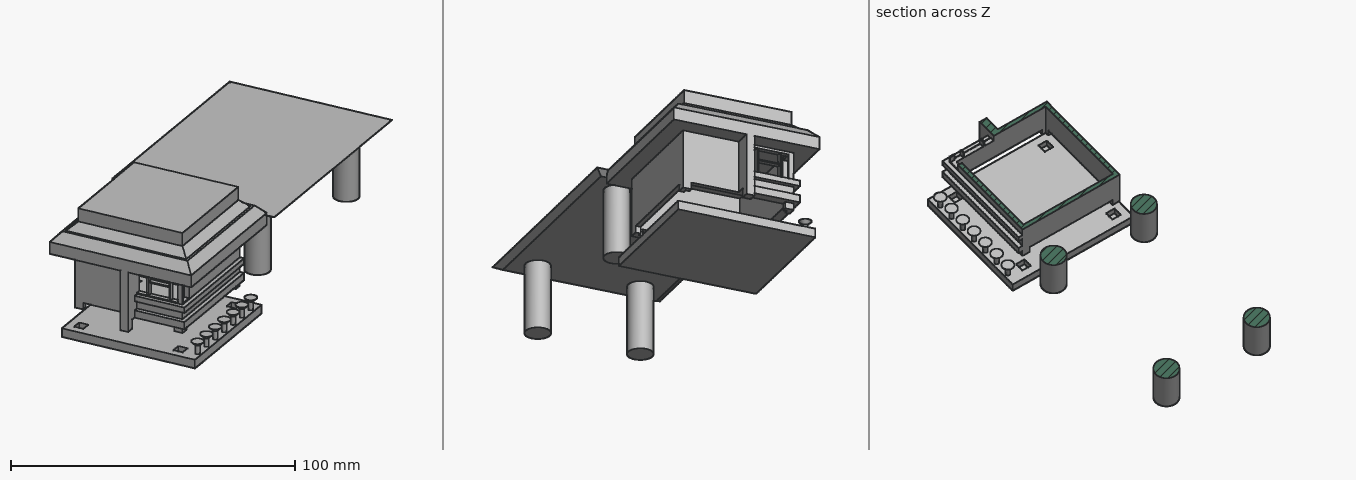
import cadquery as cq


BASE_THICKNESS = 3.4
STOOL_TOP = 8.1
POST_BOTTOM = 9.8
FOOT_BOTTOM = 10.8
WALL_BOTTOM = 13.4
LEDGE_TOP = 16.2
COUNTER_BOTTOM = 19.8
COUNTER_TOP = 22.0
WINDOW_BOTTOM = 22.4
WINDOW_TOP = 32.2
EAVE_BOTTOM = 33.2
EAVE_TOP = 37.9
LOWER_SLOPE_TOP = 41.5
UPPER_SLOPE_TOP = 44.5
CAP_TOP = 49.5

WALL_SIZE = 42.9
WALL_HALF = WALL_SIZE / 2
WALL_THICKNESS = 1.9
FOOT_SIZE = 3.3
PANEL_LEFT = 0.1
PANEL_WIDTH = 3.1
PANEL_RIGHT = PANEL_LEFT + PANEL_WIDTH

EAVE_SIZE = 56.4
LOWER_SLOPE_SIZE = 50.0
UPPER_SLOPE_SIZE = 48.0
CAP_SIZE = 41.6
ROOF_SHIFT = 0.21
FRONT_Y = ROOF_SHIFT - EAVE_SIZE / 2
EAVE_BACK_Y = ROOF_SHIFT + EAVE_SIZE / 2

PANE_1_RIGHT = 7.3
PANE_2_LEFT = 8.0
CORNER_POST_WIDTH = 1.9
CORNER_PANE_WIDTH = 3.0
CORNER_PANE_RIGHT = WALL_HALF - CORNER_POST_WIDTH
CORNER_PANE_LEFT = CORNER_PANE_RIGHT - CORNER_PANE_WIDTH
SIDE_POST_DEPTH = 0.7
SIDE_PANE_WIDTH = 4.3
BAR_THICKNESS = 0.4
BAR_BOTTOM = 27.5

COUNTER_OVERHANG = 1.7

TOTAL_LENGTH = 142.4
DECK_WIDTH = 64.8
DECK_OVERLAP = 1.7
DECK_THICKNESS = 1.7
DECK_BEVEL = 2.7
LEG_DIAMETER = 9.4
LEG_SPACING_X = 39.7
LEG_END_INSET = 10.8
DECK_FRONT_Y = EAVE_BACK_Y - DECK_OVERLAP
DECK_BACK_Y = FRONT_Y + TOTAL_LENGTH

BASE_MARGIN = 3.4
STOOL_STRIP_WIDTH = 3.4
SOCKET_SIZE = 3.7
SOCKET_DEPTH = WALL_BOTTOM - FOOT_BOTTOM
STOOL_COUNT = 7
STOOL_ROW_LENGTH = 39.6
STOOL_PITCH = STOOL_ROW_LENGTH / (STOOL_COUNT - 1)
STOOL_X = 26.6
STEM_DIAMETER = 1.7
SEAT_DIAMETER = 4.5


def block(x0, x1, y0, y1, z0, z1):
    """Box between two opposite corners."""
    return cq.Workplane().box(x1 - x0, y1 - y0, z1 - z0, centered=False).translate((x0, y0, z0))


def square_block(size, z0, z1, x=0, y=0):
    """Square box centred on (x, y)."""
    half = size / 2
    return block(x - half, x + half, y - half, y + half, z0, z1)


def roof_slope(bottom_size, top_size, z0, z1):
    """Square frustum on the roof centre."""
    return (
        cq.Workplane(origin=(ROOF_SHIFT, ROOF_SHIFT, z0))
        .rect(bottom_size, bottom_size)
        .workplane(offset=z1 - z0)
        .rect(top_size, top_size)
        .loft(ruled=True)
    )


def make_roof():
    eave = square_block(EAVE_SIZE, EAVE_BOTTOM, EAVE_TOP, ROOF_SHIFT, ROOF_SHIFT)
    lower_slope = roof_slope(EAVE_SIZE, LOWER_SLOPE_SIZE, EAVE_TOP, LOWER_SLOPE_TOP)
    upper_slope = roof_slope(UPPER_SLOPE_SIZE, CAP_SIZE, LOWER_SLOPE_TOP, UPPER_SLOPE_TOP)
    cap = square_block(CAP_SIZE, UPPER_SLOPE_TOP, CAP_TOP, ROOF_SHIFT, ROOF_SHIFT)
    return eave.union(lower_slope).union(upper_slope).union(cap)


def foot_centres():
    """Centres of the four feet, flush with the outer wall corners."""
    offset = WALL_HALF - FOOT_SIZE / 2
    return [(x, y) for x in (-offset, offset) for y in (-offset, offset)]


def make_counter(z0, z1):
    """Slab around the front right corner, from the panel to the back of the right wall."""
    edge = WALL_HALF + COUNTER_OVERHANG
    return block(PANEL_LEFT, edge, -edge, WALL_HALF, z0, z1)


def front_opening(x0, x1, z0, z1):
    return block(x0, x1, -WALL_HALF, -WALL_HALF + WALL_THICKNESS, z0, z1)


def make_walls():
    walls = square_block(WALL_SIZE, WALL_BOTTOM, EAVE_BOTTOM)
    walls = walls.union(make_counter(WALL_BOTTOM, LEDGE_TOP))
    walls = walls.union(make_counter(COUNTER_BOTTOM, COUNTER_TOP))
    for x, y in foot_centres():
        walls = walls.union(square_block(FOOT_SIZE, FOOT_BOTTOM, WALL_BOTTOM, x, y))

    room_size = WALL_SIZE - 2 * WALL_THICKNESS
    walls = walls.cut(square_block(room_size, FOOT_BOTTOM, EAVE_BOTTOM))

    pane_2_right = CORNER_PANE_LEFT - BAR_THICKNESS
    bar_top = BAR_BOTTOM + BAR_THICKNESS
    walls = walls.cut(front_opening(PANEL_RIGHT, PANE_1_RIGHT, WINDOW_BOTTOM, WINDOW_TOP))
    walls = walls.cut(front_opening(PANE_2_LEFT, pane_2_right, WINDOW_BOTTOM, BAR_BOTTOM))
    walls = walls.cut(front_opening(PANE_2_LEFT, pane_2_right, bar_top, WINDOW_TOP))
    walls = walls.cut(front_opening(CORNER_PANE_LEFT, CORNER_PANE_RIGHT, WINDOW_BOTTOM, WINDOW_TOP))

    side_pane_front = -WALL_HALF + SIDE_POST_DEPTH
    side_window = block(
        CORNER_PANE_RIGHT, WALL_HALF,
        side_pane_front, side_pane_front + SIDE_PANE_WIDTH,
        WINDOW_BOTTOM, WINDOW_TOP,
    )
    return walls.cut(side_window)


def make_panel():
    """Panel in front of the walls, with its own foot under its front edge."""
    panel = block(PANEL_LEFT, PANEL_RIGHT, FRONT_Y, -WALL_HALF, WALL_BOTTOM, EAVE_BOTTOM)
    foot = block(PANEL_LEFT, PANEL_RIGHT, FRONT_Y, FRONT_Y + FOOT_SIZE, POST_BOTTOM, WALL_BOTTOM)
    return panel.union(foot)


def make_deck():
    """Bevelled deck on four round legs, joined to the back of the eave."""
    deck_bottom = EAVE_TOP - DECK_THICKNESS
    length = DECK_BACK_Y - DECK_FRONT_Y
    deck = (
        cq.Workplane(origin=(0, (DECK_FRONT_Y + DECK_BACK_Y) / 2, deck_bottom))
        .rect(DECK_WIDTH - 2 * DECK_BEVEL, length - 2 * DECK_BEVEL)
        .workplane(offset=DECK_THICKNESS)
        .rect(DECK_WIDTH, length)
        .loft(ruled=True)
    )
    legs = (
        cq.Workplane(origin=(0, 0, POST_BOTTOM))
        .pushPoints([
            (x, y)
            for x in (-LEG_SPACING_X / 2, LEG_SPACING_X / 2)
            for y in (DECK_FRONT_Y + LEG_END_INSET, DECK_BACK_Y - LEG_END_INSET)
        ])
        .circle(LEG_DIAMETER / 2)
        .extrude(deck_bottom - POST_BOTTOM)
    )
    return deck.union(legs)


def make_house():
    return make_roof().union(make_walls()).union(make_panel()).union(make_deck())


def make_stool(y):
    """Stem with a 45 degree conical seat."""
    stem_radius = STEM_DIAMETER / 2
    seat_radius = SEAT_DIAMETER / 2
    seat_height = seat_radius - stem_radius
    return (
        cq.Workplane("XZ")
        .moveTo(0, BASE_THICKNESS)
        .lineTo(stem_radius, BASE_THICKNESS)
        .lineTo(stem_radius, STOOL_TOP - seat_height)
        .lineTo(seat_radius, STOOL_TOP)
        .lineTo(0, STOOL_TOP)
        .close()
        .revolve(360, (0, 0), (0, 1))
        .translate((STOOL_X, y, 0))
    )


def make_base():
    """Plate with blind sockets under the house feet and a row of stools."""
    edge = WALL_HALF + BASE_MARGIN
    base = block(-edge, edge + STOOL_STRIP_WIDTH, -edge, edge, 0, BASE_THICKNESS)
    for x, y in foot_centres():
        base = base.cut(square_block(SOCKET_SIZE, BASE_THICKNESS - SOCKET_DEPTH, BASE_THICKNESS, x, y))
    for index in range(STOOL_COUNT):
        base = base.union(make_stool(index * STOOL_PITCH - STOOL_ROW_LENGTH / 2))
    return base


house = make_house()
base = make_base()

result = cq.Compound.makeCompound([house.val(), base.val()])